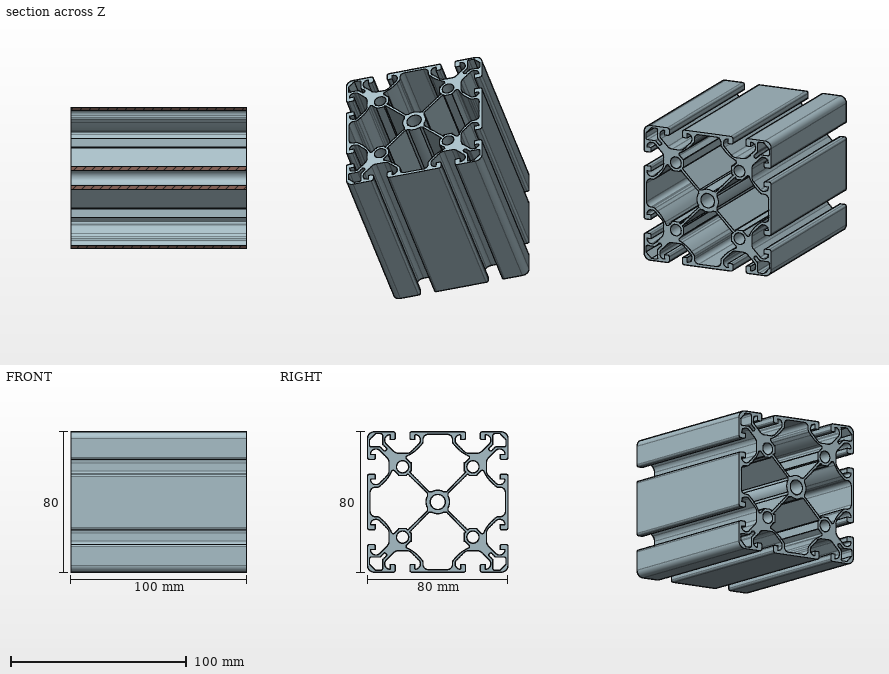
import cadquery as cq
import math

LENGTH = 100.0
SIDE = 80.0
HALF = SIDE / 2
CELL = SIDE / 4
OUTER_RADIUS = 4.0

SLOT_HALF = 4.1
LIP_DEPTH = 4.5
LIP_HALF = 7.05
CAVITY_TOP = 1.85
CAVITY_HALF = 10.05
FLOOR_DEPTH = 12.25
FLANK_SUM = 16.2
MOUTH_RADIUS = 1.3
LIP_RADIUS = 0.9
HOOK_RADIUS = 0.2
CAVITY_RADIUS = 2.75
SHOULDER_RADIUS = 2.5
FLOOR_RADIUS = 4.0

CORNER_WALL = 1.2
CORNER_FAR = 8.6
CORNER_BEVEL_SUM = 5.9
CORNER_RADIUS = 1.0
GROOVE_OFFSET = 1.4
GROOVE_END_SUM = 21.1
GROOVE_RADIUS = 0.6

FACE_WALL = 1.6
CHAMBER_CORNER_RADIUS = 2.8
CHAMBER_SIDE = 8.3
FLANK_TOP_DEPTH = 6.3
SHOULDER_OUTER_RADIUS = 2.0
FLANK_BEND_HALF = 7.3
FLANK_BEND_DEPTH = 11.4
FLANK_RADIUS = 20.0
NOTCH_HALF = 1.4
NOTCH_RADIUS = 0.9
WEB_THICK_OUTER = 1.6
WEB_THICK_INNER = 1.28

SMALL_BORE = 6.8
BEVEL_DISTANCE = 4.9
PAD_DISTANCE = 4.95
PAD_HALF = 2.35
CENTRE_BORE = 8.5
CENTRE_BOSS = 13.5
CENTRE_SQUARE = 11.7

SHORTEST_LINE = 1e-4


def rounded_outline(corners):
    """Closed wire through (x, y, radius) corners, each rounded by a tangent arc."""
    count = len(corners)
    stretches = []
    for i, (x, y, radius) in enumerate(corners):
        before = corners[i - 1]
        after = corners[(i + 1) % count]
        corner = cq.Vector(x, y)
        to_before = (cq.Vector(before[0], before[1]) - corner).normalized()
        to_after = (cq.Vector(after[0], after[1]) - corner).normalized()
        if radius == 0:
            stretches.append([corner])
            continue
        half_angle = to_before.getAngle(to_after) / 2
        setback = radius / math.tan(half_angle)
        bulge = radius / math.sin(half_angle) - radius
        inward = (to_before + to_after).normalized()
        stretches.append([
            corner + to_before * setback,
            corner + inward * bulge,
            corner + to_after * setback,
        ])
    edges = []
    for i, stretch in enumerate(stretches):
        if len(stretch) > 1:
            edges.append(cq.Edge.makeThreePointArc(*stretch))
        next_start = stretches[(i + 1) % count][0]
        if (next_start - stretch[-1]).Length > SHORTEST_LINE:
            edges.append(cq.Edge.makeLine(stretch[-1], next_start))
    return cq.Wire.assembleEdges(edges)


def prism(corners):
    """Prism with the given outline, standing along Z over the full length."""
    return cq.Workplane(cq.Solid.extrudeLinear(rounded_outline(corners), [], cq.Vector(0, 0, LENGTH)))


def mirrored(half):
    """Add the mirror image about the vertical axis to one half of an outline."""
    return half + [(-x, y, radius) for x, y, radius in reversed(half)]


def swapped(half):
    """Add the mirror image about the diagonal to one half of an outline."""
    return half + [(y, x, radius) for x, y, radius in reversed(half)]


def rod(diameter, x=0, y=0):
    return cq.Workplane().center(x, y).circle(diameter / 2).extrude(LENGTH)


def t_slot(centre):
    """T-slot in the upper face, centred on the given position along it."""
    half = [
        (SLOT_HALF + MOUTH_RADIUS, HALF, 0),
        (SLOT_HALF, HALF, MOUTH_RADIUS),
        (SLOT_HALF, HALF - LIP_DEPTH, LIP_RADIUS),
        (LIP_HALF, HALF - LIP_DEPTH, 0),
        (LIP_HALF, HALF - CAVITY_TOP, HOOK_RADIUS),
        (CAVITY_HALF, HALF - CAVITY_TOP, CAVITY_RADIUS),
        (CAVITY_HALF, HALF - (FLANK_SUM - CAVITY_HALF), SHOULDER_RADIUS),
        (FLANK_SUM - FLOOR_DEPTH, HALF - FLOOR_DEPTH, FLOOR_RADIUS),
    ]
    return prism(mirrored(half)).translate((centre, 0, 0))


def corner_hollow():
    """Hollow with a diagonal groove behind the upper right corner."""
    half = [
        (CORNER_BEVEL_SUM - CORNER_WALL, CORNER_WALL, 0),
        (CORNER_FAR, CORNER_WALL, CORNER_RADIUS),
        (CORNER_FAR, CORNER_FAR - GROOVE_OFFSET, CORNER_RADIUS),
        ((GROOVE_END_SUM + GROOVE_OFFSET) / 2, (GROOVE_END_SUM - GROOVE_OFFSET) / 2, GROOVE_RADIUS),
    ]
    return prism([(HALF - x, HALF - y, radius) for x, y, radius in swapped(half)])


def chamber():
    """Upper chamber, reaching from the face wall down to the centre boss."""
    bevel = BEVEL_DISTANCE * math.sqrt(2)
    outer_gap = WEB_THICK_OUTER / math.sqrt(2)
    inner_gap = WEB_THICK_INNER / math.sqrt(2)
    web_start = CELL - (bevel + outer_gap) / 2
    pad_step = CELL - bevel + PAD_HALF
    square = CENTRE_SQUARE / 2
    half = [
        (CHAMBER_SIDE, HALF - FACE_WALL, CHAMBER_CORNER_RADIUS),
        (CHAMBER_SIDE, HALF - FLANK_TOP_DEPTH, SHOULDER_OUTER_RADIUS),
        (CELL - FLANK_BEND_HALF, HALF - FLANK_BEND_DEPTH, FLANK_RADIUS),
        (CELL - NOTCH_HALF, CELL - NOTCH_HALF + bevel, NOTCH_RADIUS),
        (pad_step, CELL + PAD_HALF, 0),
        (CELL - PAD_DISTANCE, CELL + PAD_HALF, 0),
        (CELL - PAD_DISTANCE, CELL - PAD_HALF, 0),
        (pad_step, CELL - PAD_HALF, 0),
        (web_start, web_start + outer_gap, 0),
        (square - inner_gap, square, 0),
    ]
    return prism(mirrored(half))


def profile_bar():
    """Extrusion standing along the Z axis."""
    bar = cq.Workplane().rect(SIDE, SIDE).extrude(LENGTH).edges("|Z").fillet(OUTER_RADIUS)
    side_cuts = [t_slot(-CELL), t_slot(CELL), corner_hollow(), chamber()]
    for quarter in range(4):
        for cut in side_cuts:
            bar = bar.cut(cut.rotate((0, 0, 0), (0, 0, 1), 90 * quarter))
    bar = bar.union(rod(CENTRE_BOSS)).cut(rod(CENTRE_BORE))
    for x in (-CELL, CELL):
        for y in (-CELL, CELL):
            bar = bar.cut(rod(SMALL_BORE, x, y))
    return bar


result = profile_bar().translate((0, 0, -LENGTH / 2)).rotate((0, 0, 0), (0, 1, 0), 90)